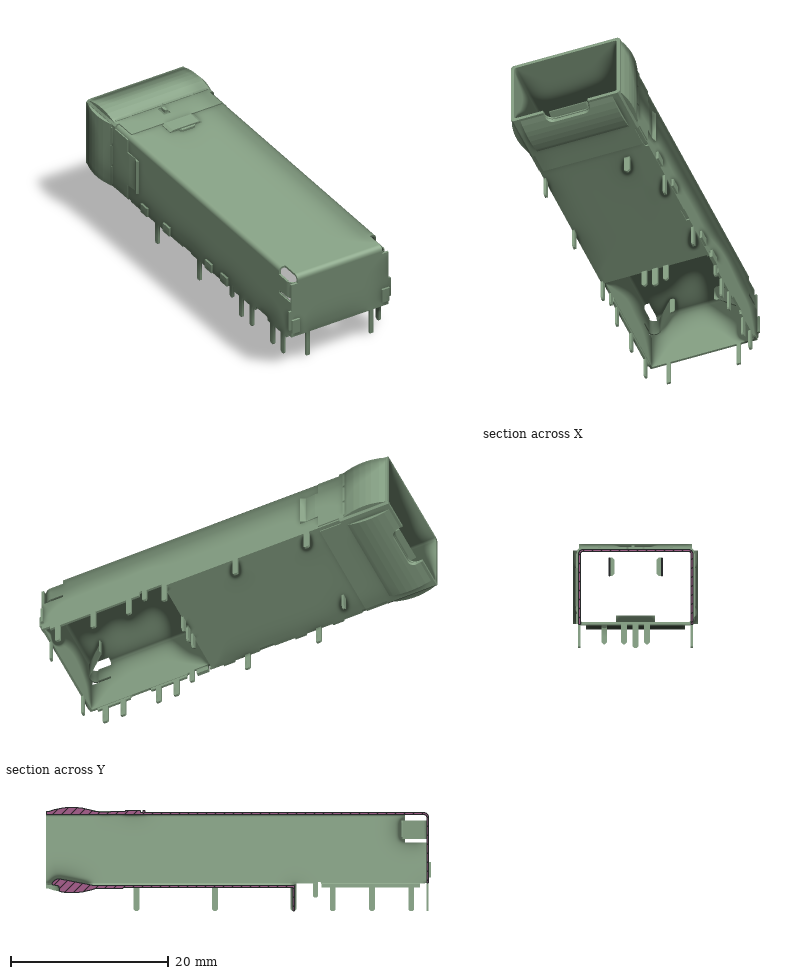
import cadquery as cq
import math


sheet = 0.3
total_length = 49.0
total_width = 15.9
total_height = 13.25
half_width = 7.3
cage_height = 9.6
corner_radius = 0.6
inner_half = half_width - sheet

tab_sheet = 0.3
plate_outer_x = total_length - tab_sheet
plate_inner_x = plate_outer_x - sheet
back_bend = 0.7
plate_half = 7.65
plate_bottom = 0.6

collar_sheet = 0.15
collar_half = half_width + collar_sheet
collar_top = cage_height + collar_sheet
ring_length = 6.85
collar_length = 9.8
finger_rise = total_width / 2 - collar_half
finger_stations = [0.35, 1.1, 2.1, 2.85, 3.7, 4.6, 5.7, 6.15]

pin_tip_z = collar_top + finger_rise - total_height

overlap = 0.15
clear = 0.5


def box(x, y, z):
    """Axis-aligned box given its (low, high) limits along each axis."""
    size = [high - low for low, high in (x, y, z)]
    return cq.Workplane("XY").box(*size, centered=False).translate((x[0], y[0], z[0]))


def across(points, y):
    """Extrude an XZ outline over the (low, high) limits in Y."""
    return cq.Workplane("XZ").polyline(points).close().extrude(y[0] - y[1]).translate((0, y[0], 0))


def upward(points, z):
    """Extrude an XY outline over the (low, high) limits in Z."""
    return cq.Workplane("XY").polyline(points).close().extrude(z[1] - z[0]).translate((0, 0, z[0]))


def both_sides(shape):
    return shape.union(shape.mirror("XZ"))


def bent_block(front, back, half, bottom, top, bend):
    """Long block whose top edge is rounded down into its back face."""
    side_profile = (
        cq.Workplane("XZ")
        .moveTo(front, bottom)
        .lineTo(back, bottom)
        .lineTo(back, top - bend)
        .radiusArc((back - bend, top), -bend)
        .lineTo(front, top)
        .close()
    )
    return side_profile.extrude(2 * half).translate((0, half, 0))


def shell():
    floor_end = 31.55
    inner_radius = corner_radius - sheet
    rear_floor = (floor_end, total_length)
    section = box((0, plate_outer_x), (-half_width, half_width), (0, cage_height))
    section = section.edges("|X and >Z").fillet(corner_radius)
    outer = section.intersect(bent_block(0, plate_outer_x, half_width, 0, cage_height, back_bend))
    cavity_top = cage_height - sheet
    bore = box((-clear, plate_inner_x), (-inner_half, inner_half), (sheet, cavity_top))
    bore = bore.edges("|X").fillet(inner_radius)
    inner_bend = back_bend - sheet
    inner = bore.intersect(bent_block(-clear, plate_inner_x, inner_half, sheet, cavity_top, inner_bend))
    open_floor = box(rear_floor, (-inner_half, inner_half), (-clear, sheet + overlap))
    back_gap_x = (plate_inner_x - overlap, total_length)
    back_gap = box(back_gap_x, (-plate_half, plate_half), (-clear, plate_bottom))
    return outer.cut(inner).cut(open_floor).cut(back_gap)


relief_start = 45.7
spring_bend_start = 47.45
spring_bottom = 6.15
spring_top = 8.5


def back_reliefs():
    corner_inner_y = 6.35
    slot_bottom = 5.75
    wall_end_x = 47.55
    corner_notch_top = 0.55
    wall = (inner_half - overlap, half_width + clear)
    corner_y = (corner_inner_y, half_width + clear)
    corner = box((relief_start, total_length), corner_y, (spring_top, cage_height + clear))
    slot = box((relief_start, plate_inner_x), wall, (slot_bottom, spring_bottom))
    lower_corner = box((wall_end_x, plate_inner_x), wall, (-clear, corner_notch_top))
    strip_gap = box((spring_bend_start, plate_inner_x), wall, (spring_bottom, spring_top))
    return both_sides(corner.union(slot).union(lower_corner).union(strip_gap))


def back_wings():
    lock_z = (1.25, 3.25)
    lock_start = 6.2
    wing_z = (1.7, 4.5)
    leg_y = (4.5, 5.05)
    wing = box((plate_inner_x, plate_outer_x), (lock_start, plate_half), wing_z)
    lock = box((plate_outer_x - overlap, total_length), (lock_start, half_width), lock_z)
    leg = box((plate_inner_x, plate_outer_x), leg_y, (pin_tip_z, plate_bottom + overlap))
    return both_sides(wing.union(lock).union(leg))


def rear_springs():
    outer_radius = plate_inner_x - spring_bend_start
    strip_thickness = 0.15
    inner_radius = outer_radius - strip_thickness
    lean = math.radians(48)
    flat_length = 3.65
    tip_y = 2.7
    tip_chamfer = 0.25
    centre_y = half_width - outer_radius

    def on_bend(radius, angle):
        return (spring_bend_start + radius * math.sin(angle), centre_y + radius * math.cos(angle))

    def knee(start):
        return (start[0] - flat_length * math.sin(lean), start[1] - flat_length * math.cos(lean))

    bend = math.pi / 2 + lean
    outer_end = on_bend(outer_radius, bend)
    inner_end = on_bend(inner_radius, bend)
    outer_knee = knee(outer_end)
    inner_knee = knee(inner_end)
    spring = (
        cq.Workplane("XY", origin=(0, 0, spring_bottom))
        .moveTo(spring_bend_start - overlap, half_width)
        .lineTo(spring_bend_start, half_width)
        .threePointArc(on_bend(outer_radius, bend / 2), outer_end)
        .lineTo(*outer_knee)
        .lineTo(outer_knee[0], tip_y)
        .lineTo(inner_knee[0], tip_y)
        .lineTo(*inner_knee)
        .lineTo(*inner_end)
        .threePointArc(on_bend(inner_radius, bend / 2), on_bend(inner_radius, 0))
        .lineTo(spring_bend_start - overlap, centre_y + inner_radius)
        .close()
        .extrude(spring_top - spring_bottom)
    )
    return both_sides(spring.edges("|X and <Y").chamfer(tip_chamfer))


def collar():
    side_plate_z = (0.25, 9.1)
    top_plate_half = 6.8
    edge_chamfer = 0.3
    ring_core = (-inner_half - overlap, inner_half + overlap)
    ring = box((0, ring_length), (-collar_half, collar_half), (-collar_sheet, collar_top))
    ring = ring.edges("|X").chamfer(edge_chamfer)
    sides = box((0, collar_length), (-collar_half, collar_half), side_plate_z)
    plates = box((0, collar_length), (-top_plate_half, top_plate_half), (-collar_sheet, collar_top))
    hollow = box((-clear, collar_length + clear), ring_core, (sheet - overlap, cage_height - sheet + overlap))
    return ring.union(sides).union(plates).cut(hollow)


def finger_profile(base, direction):
    """Faceted bulge: stations on a circular arc rising outward from `base`."""
    start = finger_stations[0]
    end = finger_stations[-1]
    half_chord = (end - start) / 2
    radius = (half_chord**2 + finger_rise**2) / (2 * finger_rise)
    middle = (start + end) / 2

    def height(x):
        return finger_rise - radius + math.sqrt(radius**2 - (x - middle) ** 2)

    crest = [(x, base + direction * height(x)) for x in finger_stations]
    root = base - direction * overlap
    return [(start, root)] + crest + [(end, root)]


def fingers():
    top_half = 7.2
    bottom_half = 6.25
    panel_z = (0.1, 9.4)
    top = across(finger_profile(collar_top, 1), (-top_half, top_half))
    bottom = across(finger_profile(-collar_sheet, -1), (-bottom_half, bottom_half))
    side = upward(finger_profile(collar_half, 1), panel_z)
    return top.union(bottom).union(both_sides(side))


def finger_end_lips():
    """Low lips behind the fingers, broken by short gaps."""
    lip_x = (6.0, 6.25)
    lip_rise = 0.1
    gap = 0.4
    top_edges = [-7.1, -4.6, 0, 4.6, 7.1]
    side_edges = [0.3, 3.25, 6.4, 9.2]
    lips = cq.Workplane("XY")
    for low, high in zip(top_edges, top_edges[1:]):
        lip_y = (low + gap / 2, high - gap / 2)
        lips = lips.union(box(lip_x, lip_y, (collar_top - overlap, collar_top + lip_rise)))
    for low, high in zip(side_edges, side_edges[1:]):
        lip_z = (low + gap / 2, high - gap / 2)
        lips = lips.union(both_sides(box(lip_x, (collar_half - overlap, collar_half + lip_rise), lip_z)))
    return lips


def side_latches():
    latch_z = (2.3, 7.2)
    outline = [
        (collar_length - overlap, half_width - overlap),
        (collar_length - overlap, collar_half),
        (10.2, collar_half),
        (11.5, half_width + 0.05),
        (12.2, half_width + 0.35),
        (12.5, half_width - overlap),
    ]
    return both_sides(upward(outline, latch_z))


def top_strap():
    strap_x = (10.05, 12.0)
    strap_top = cage_height + 0.3
    foot_half = 2.35
    foot_top = cage_height + 0.1
    crown_half = 1.95
    root = cage_height - overlap
    outline = [(-foot_half, root), (-foot_half, foot_top), (-crown_half, strap_top)]
    outline += [(-y, z) for y, z in reversed(outline)]
    strap = cq.Workplane("YZ").polyline(outline).close().extrude(strap_x[1] - strap_x[0])
    tip_x = (12.25, 12.6)
    tip_half = 1.15
    tip_chamfer = 0.25
    tip = box(tip_x, (-tip_half, tip_half), (root, strap_top))
    tip = tip.edges("|Z and >X").chamfer(tip_chamfer)
    bridge = box((collar_length - overlap, strap_x[0]), (-crown_half, crown_half), (root, collar_top))
    return strap.translate((strap_x[0], 0, 0)).union(tip).union(bridge)


def lance_recess():
    depth = 0.1
    recess_x = (6.6, 8.2)
    recess_y = (-0.9, 0.1)
    return box(recess_x, recess_y, (collar_top - depth, collar_top + clear))


def lance():
    rise = 0.3
    lance_x = (6.95, 7.75)
    lance_y = (-0.5, -0.1)
    return box(lance_x, lance_y, (cage_height - overlap, collar_top + rise))


notch_depth = 1.55


def mouth_notch():
    notch_half = 3.05
    corner = 1.0
    collar_setback = 0.1
    y = (-notch_half, notch_half)
    floor_notch = box((-clear, notch_depth), y, (-overlap, sheet + overlap))
    below_fingers = -collar_sheet - finger_rise - clear
    collar_notch = box((-clear, notch_depth + collar_setback), y, (below_fingers, 0))
    floor_notch = floor_notch.edges("|Z and >X").fillet(corner)
    return floor_notch.union(collar_notch.edges("|Z and >X").fillet(corner))


def tongue():
    tongue_half = 2.5
    nose_radius = 1.1
    crest = (1.6, 1.2)
    nose_end = (0.8, 0.7)
    lip = (0.65, 0.4)
    ramp_end = 6.15
    root_z = sheet - overlap
    body = (
        cq.Workplane("XZ")
        .moveTo(ramp_end, sheet)
        .lineTo(*crest)
        .radiusArc(nose_end, -nose_radius)
        .lineTo(*lip)
        .lineTo(notch_depth + sheet, root_z)
        .lineTo(ramp_end, root_z)
        .close()
        .extrude(2 * tongue_half)
    )
    return body.translate((0, tongue_half, 0))


pitch = 5.0
first_pin = 11.5
pin_width = 0.75


def blade(x, y, tip_z, root_z, axis, tip_chamfer):
    """Flat pin with its wide edge along `axis` and both tip corners cut."""
    pin = box(x, y, (tip_z, root_z))
    thin_axis = "Y" if axis == "X" else "X"
    return pin.edges("<Z and |" + thin_axis).chamfer(tip_chamfer)


def wall_pin(x, side, tip_z=pin_tip_z, width=pin_width, root_z=0.5):
    tip_chamfer = 0.17
    limits = sorted((side * inner_half, side * half_width))
    return blade((x - width / 2, x + width / 2), limits, tip_z, root_z, "X", tip_chamfer)


def wall_pins():
    """Pins on each side wall, placed in steps of the pitch behind the first pin."""
    right_steps = [1, 3, 5, 5.5, 6.5, 7]
    left_steps = [0, 2, 4, 5, 6, 7]
    pins = cq.Workplane("XY")
    for side, steps in ((-1, right_steps), (1, left_steps)):
        for step in steps:
            pins = pins.union(wall_pin(first_pin + step * pitch, side))
    return pins


def floor_pins():
    short_tip_z = -2.55
    short_point = 0.3
    long_point = 0.2
    rear_x = first_pin + 4 * pitch
    side_y = 1.45
    outer_y = -3.95
    placements = [
        (first_pin, outer_y, short_tip_z, short_point),
        (rear_x, -side_y, short_tip_z, short_point),
        (rear_x, 0, pin_tip_z, long_point),
        (rear_x, side_y, short_tip_z, short_point),
    ]
    pins = cq.Workplane("XY")
    for x, y, tip_z, point in placements:
        thickness = (x - sheet / 2, x + sheet / 2)
        breadth = (y - pin_width / 2, y + pin_width / 2)
        pins = pins.union(blade(thickness, breadth, tip_z, sheet, "Y", point))
    return pins


guide_x = 34.3


def guide_pins():
    tip_z = -1.25
    root_z = 1.2
    width = 0.65
    return both_sides(wall_pin(guide_x, 1, tip_z, width, root_z))


def wall_notches():
    """Reliefs around both guide pins, then further notches in the -Y wall only."""
    relief_start_x = 31.8
    relief_end_x = 35.05
    front_top = 0.55
    right_front_top = 0.95
    back_top = 0.75
    back_corner = 0.3
    clearance_x = (40.05, 43.0)
    clearance_top = 0.55
    clearance_chamfer = 0.2
    shallow_top = 0.2
    shallow_spans = [(collar_length, 10.45), (22.8, 24.8)]

    wall = (inner_half - overlap, half_width + clear)
    front_relief = box((relief_start_x, guide_x), wall, (-clear, front_top))
    back_relief = box((guide_x, relief_end_x), wall, (-clear, back_top))
    back_relief = back_relief.edges("|Y and >X and >Z").fillet(back_corner)
    notches = both_sides(front_relief.union(back_relief))

    right_wall = (-half_width - clear, -inner_half + overlap)
    clearance = box(clearance_x, right_wall, (-clear, clearance_top))
    notches = notches.union(clearance.edges("|Y and >Z").chamfer(clearance_chamfer))
    notches = notches.union(box((relief_start_x, guide_x), right_wall, (-clear, right_front_top)))
    for span in shallow_spans:
        notches = notches.union(box(span, right_wall, (-clear, shallow_top)))
    return notches


def wall_pads():
    """Small raised pads along the lower edge of the -Y wall."""
    pad_z = (0.1, 1.3)
    pad_rise = 0.3
    pad_length = 1.55
    pad_starts = [13.15, 18.4, 28.45, 32.15]
    pad_y = (-half_width - pad_rise, -half_width + overlap)
    pads = cq.Workplane("XY")
    for start in pad_starts:
        pads = pads.union(box((start, start + pad_length), pad_y, pad_z))
    return pads


result = shell().cut(back_reliefs()).cut(wall_notches())
result = result.union(collar()).union(fingers()).union(finger_end_lips())
result = result.cut(mouth_notch()).cut(lance_recess())
for feature in (
    back_wings,
    rear_springs,
    side_latches,
    top_strap,
    lance,
    tongue,
    wall_pins,
    floor_pins,
    guide_pins,
    wall_pads,
):
    result = result.union(feature())